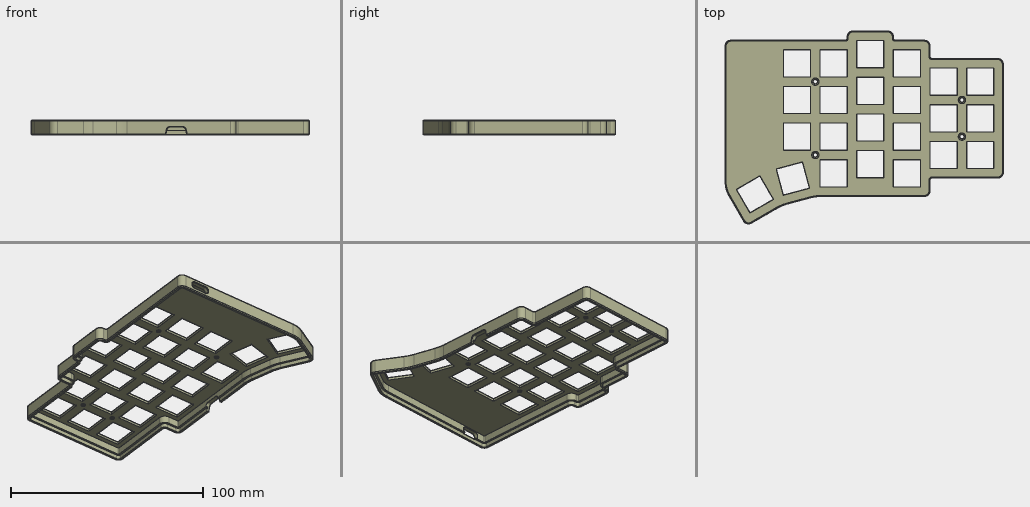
import cadquery as cq
import math

length_x = 144.25
length_y = 99.98
height = 7.8
left = -length_x / 2
right = length_x / 2
back = length_y / 2
front = -length_y / 2
bottom = -height / 2
top = height / 2

pitch = 19.0
key_size = 13.95
border = 12.0
stagger = pitch / 4

plate_thickness = 1.5
wall = 2.5
rim_wall = 1.5
recess_depth = 2.3
edge_chamfer = 0.5

corner_radius = 3.0
notch_radius = 0.9
elbow_radius = 14.0
thumb_bend_radius = 20.5

screw_diameter = 2.2
head_diameter = 3.8
head_depth = 1.2
head_taper = math.degrees(math.atan((head_diameter - screw_diameter) / 2 / head_depth))

slot_from_back = 17.3
slot_y = back - slot_from_back
slot_length = 11.0
slot_height = 4.2

notch_height = 4.4
notch_bottom_width = 11.6
notch_top_width = 9.6
notch_corner_radius = 2.0

mouth_chamfer = 0.3

column_count = 6
first_column_x = right - border - pitch * (column_count - 1)
column_x = [first_column_x + pitch * i for i in range(column_count)]
tall_y = back - border
main_y = tall_y - stagger
short_y = main_y - 2 * stagger
main_rows = 4
short_rows = 3
columns = [
    (column_x[0], main_y, main_rows - 1),
    (column_x[1], main_y, main_rows),
    (column_x[2], tall_y, main_rows),
    (column_x[3], main_y, main_rows),
    (column_x[4], short_y, short_rows),
    (column_x[5], short_y, short_rows),
]
main_front = main_y - (main_rows - 1) * pitch - border
short_front = short_y - (short_rows - 1) * pitch - border

outer_thumb_angle = 30.0
inner_thumb_angle = 15.0
tip_turn = math.radians(outer_thumb_angle)
tip_drop = (border - corner_radius) * (math.sin(tip_turn) + math.cos(tip_turn)) + corner_radius
outer_thumb_x = -56.69
inner_thumb_x = -37.0
inner_thumb_y = -26.5
outer_thumb = (outer_thumb_x, front + tip_drop, outer_thumb_angle)
inner_thumb = (inner_thumb_x, inner_thumb_y, inner_thumb_angle)


def border_line(key, side):
    """Point and direction of the case edge along the 'front' or 'left' side of a turned key."""
    x, y, angle = key
    turn = math.radians(angle)
    along = (math.cos(turn), math.sin(turn))
    across = (-math.sin(turn), math.cos(turn))
    normal, direction = (across, along) if side == "front" else (along, across)
    return (x - border * normal[0], y - border * normal[1]), direction


def crossing(line_a, line_b):
    """Point where two lines, each given as (point, direction), meet."""
    (ax, ay), (ux, uy) = line_a
    (bx, by), (vx, vy) = line_b
    t = ((bx - ax) * vy - (by - ay) * vx) / (ux * vy - uy * vx)
    return ax + t * ux, ay + t * uy


def rounded_outline(corners):
    """Closed outline with (point, radius) corners, each rounded by a tangent arc."""
    arcs = []
    for i, (point, radius) in enumerate(corners):
        corner = cq.Vector(*point)
        to_previous = (cq.Vector(*corners[i - 1][0]) - corner).normalized()
        to_next = (cq.Vector(*corners[(i + 1) % len(corners)][0]) - corner).normalized()
        half_angle = to_previous.getAngle(to_next) / 2
        reach = radius / math.tan(half_angle)
        bisector = (to_previous + to_next).normalized()
        middle = corner + bisector * (radius / math.sin(half_angle) - radius)
        arcs.append((corner + to_previous * reach, middle, corner + to_next * reach))
    path = cq.Workplane("XY").workplane(offset=bottom).moveTo(arcs[0][2].x, arcs[0][2].y)
    for start, middle, end in arcs[1:] + arcs[:1]:
        path = path.lineTo(start.x, start.y).threePointArc((middle.x, middle.y), (end.x, end.y))
    return path.close()


def case_outline():
    """Outer outline of the case, clockwise from the back left corner."""
    main_back = main_y + border
    short_back = short_y + border
    tall_left = column_x[2] - border
    tall_right = column_x[2] + border
    main_right = column_x[3] + border
    left_line = ((left, 0), (0, 1))
    front_line = ((0, main_front), (1, 0))
    inner_front = border_line(inner_thumb, "front")
    outer_front = border_line(outer_thumb, "front")
    outer_left = border_line(outer_thumb, "left")
    return rounded_outline([
        ((left, main_back), corner_radius),
        ((tall_left, main_back), notch_radius),
        ((tall_left, back), corner_radius),
        ((tall_right, back), corner_radius),
        ((tall_right, main_back), notch_radius),
        ((main_right, main_back), corner_radius),
        ((main_right, short_back), notch_radius),
        ((right, short_back), corner_radius),
        ((right, short_front), corner_radius),
        ((main_right, short_front), notch_radius),
        ((main_right, main_front), corner_radius),
        (crossing(front_line, inner_front), thumb_bend_radius),
        (crossing(inner_front, outer_front), thumb_bend_radius),
        (crossing(outer_front, outer_left), corner_radius),
        (crossing(outer_left, left_line), elbow_radius),
    ])


def shell():
    """Case body, hollow from below, with a wider recess for a base plate."""
    body = case_outline().extrude(height).faces("<Z or >Z").edges().chamfer(edge_chamfer)
    cavity = case_outline().offset2D(-wall).extrude(height - plate_thickness)
    recess = case_outline().offset2D(-rim_wall).extrude(recess_depth)
    return body.cut(cavity).cut(recess)


def key_openings():
    """Square switch openings of all columns and both thumb keys."""
    keys = [(x, y - pitch * row, 0) for x, y, count in columns for row in range(count)]
    openings = cq.Workplane("XY")
    for x, y, angle in keys + [inner_thumb, outer_thumb]:
        opening = cq.Workplane("XY").box(key_size, key_size, 2 * height)
        openings.add(opening.rotate((0, 0, 0), (0, 0, 1), angle).translate((x, y, 0)))
    return openings.combine()


def screw_holes():
    """Countersunk screw holes at the gaps between four keys."""
    main_x = (column_x[0] + column_x[1]) / 2
    short_x = (column_x[4] + column_x[5]) / 2
    points = [
        (main_x, main_y - pitch / 2),
        (main_x, main_y - pitch * 5 / 2),
        (short_x, short_y - pitch / 2),
        (short_x, short_y - pitch * 3 / 2),
    ]
    plane = cq.Workplane("XY").workplane(offset=top).pushPoints(points)
    shafts = plane.circle(screw_diameter / 2).extrude(-height)
    heads = plane.circle(head_diameter / 2).extrude(-head_depth, taper=head_taper)
    return shafts.union(heads)


def port_slot():
    """Rounded slot through the left wall, with a chamfered mouth."""
    plane = cq.Workplane("YZ", origin=(left, slot_y, 0))
    mouth = plane.slot2D(slot_length, slot_height).extrude(mouth_chamfer, taper=45)
    narrowing = 2 * mouth_chamfer
    throat = plane.slot2D(slot_length - narrowing, slot_height - narrowing).extrude(2 * wall)
    return mouth.union(throat)


def notch_block(inset, depth):
    """Trapezoid with rounded top corners, shrunk by an inset and reaching into the front wall."""
    half_bottom = notch_bottom_width / 2 - inset
    half_top = notch_top_width / 2 - inset
    roof = notch_height - inset
    corners = [(-half_bottom, 0), (-half_top, roof), (half_top, roof), (half_bottom, 0)]
    plane = cq.Workplane("XZ", origin=(column_x[2], main_front, bottom))
    block = plane.polyline(corners).close().extrude(-depth)
    return block.edges("|Y and >Z").fillet(notch_corner_radius - inset)


def front_notch():
    """Notch through the front wall, open at the bottom, with a chamfered mouth."""
    mouth_face = notch_block(0, wall).faces("<Y").wires().val()
    throat_face = notch_block(mouth_chamfer, mouth_chamfer).faces(">Y").wires().val()
    mouth = cq.Workplane(cq.Solid.makeLoft([mouth_face, throat_face], True))
    return notch_block(mouth_chamfer, 2 * wall).union(mouth)


result = shell().cut(key_openings()).cut(screw_holes()).cut(port_slot()).cut(front_notch())